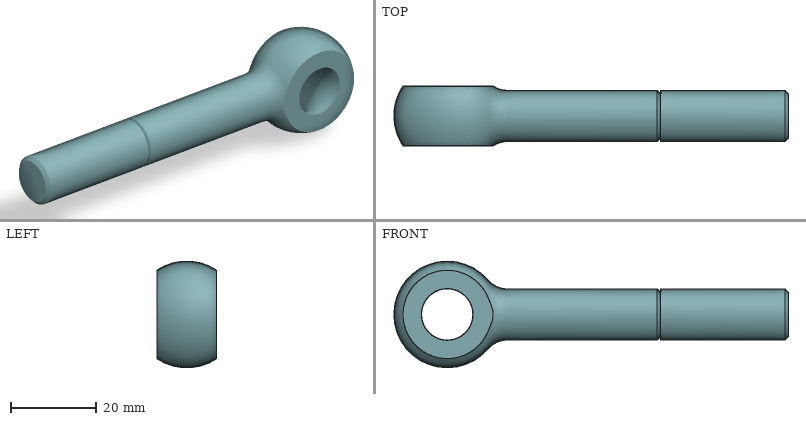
import cadquery as cq
import math

ball_radius = 12.5
eye_width = 14.0
bore_diameter = 12.0
shank_radius = 6.0
neck_fillet_radius = 6.0
shank_end_x = 80.0
thread_length = 30.0
groove_depth = 0.8
end_chamfer = 0.8
tip_bevel_length = 0.06
tip_bevel_depth = 0.12

thread_start_x = shank_end_x - thread_length
groove_start_x = thread_start_x - groove_depth
groove_bottom_radius = shank_radius - groove_depth
tip_bevel_start_x = shank_end_x - tip_bevel_length
chamfer_start_x = tip_bevel_start_x - end_chamfer
chamfer_end_radius = shank_radius - end_chamfer
tip_face_radius = chamfer_end_radius - tip_bevel_depth

fillet_center_r = shank_radius + neck_fillet_radius
center_distance = ball_radius + neck_fillet_radius
fillet_center_x = math.sqrt(center_distance**2 - fillet_center_r**2)
ball_share = ball_radius / center_distance
ball_tangent = (fillet_center_x * ball_share, fillet_center_r * ball_share)


def neck_midpoint():
    """Point halfway along the fillet arc between the ball and the shank."""
    ball_side_angle = math.atan2(-fillet_center_r, -fillet_center_x)
    shank_side_angle = -math.pi / 2
    angle = (ball_side_angle + shank_side_angle) / 2
    return (
        fillet_center_x + neck_fillet_radius * math.cos(angle),
        fillet_center_r + neck_fillet_radius * math.sin(angle),
    )


def make_body():
    """Ball, filleted neck, grooved shank and chamfered tip turned about the X axis."""
    profile = (
        cq.Workplane("XY")
        .moveTo(-ball_radius, 0)
        .threePointArc((0, ball_radius), ball_tangent)
        .threePointArc(neck_midpoint(), (fillet_center_x, shank_radius))
        .lineTo(groove_start_x, shank_radius)
        .lineTo(thread_start_x, groove_bottom_radius)
        .lineTo(thread_start_x, shank_radius)
        .lineTo(chamfer_start_x, shank_radius)
        .lineTo(tip_bevel_start_x, chamfer_end_radius)
        .lineTo(shank_end_x, tip_face_radius)
        .lineTo(shank_end_x, 0)
        .close()
    )
    return profile.revolve(360, (0, 0, 0), (1, 0, 0))


def flatten_eye(body):
    """Keep the slab between the two flat eye faces."""
    size = 2 * (shank_end_x + ball_radius)
    return body.intersect(cq.Workplane("XY").box(size, eye_width, size))


def cut_bore(body):
    """Bore through the eye along Y."""
    bore = cq.Workplane("XZ").circle(bore_diameter / 2).extrude(eye_width, both=True)
    return body.cut(bore)


result = cut_bore(flatten_eye(make_body()))